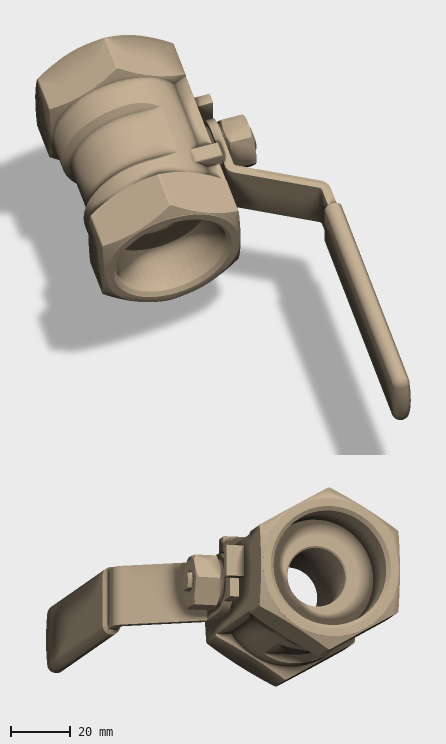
import cadquery as cq
import math


valve_length = 77.0
port_dia = 20.0
thread_dia = 38.95
thread_depth = 19.0
mouth_chamfer = 1.3
port_chamfer = 0.5
hex_flats = 48.0
hex_length = 18.3
hex_corner_radius = 1.0
hex_face_dia = 46.5
hex_chamfer_angle = 30.0
barrel_dia = 47.0

waist_radius = 21.0
waist_start = -7.8
waist_end = 11.4
waist_slope = 2.4
cutter_margin = 3.0

pad_half_width = 13.2
pad_fillet = 0.5
stop_x = -15.0
stop_width = 3.8
stop_height = 10.4
stop_top = 30.0
stop_root = 1.0
lug_x = 9.6
lug_width = 5.7
lug_bottom = 15.0
lug_top = 25.0
lug_front = 18.0
lug_back = pad_half_width - pad_fillet
lug_fillet = 0.6

boss_dia = 16.0
boss_height = 2.0
stem_dia = 9.0
stem_flats = 5.2
stem_chamfer = 0.8
stem_top = 40.5
washer_thickness = 1.2
nut_flats = 17.0
nut_top = 39.0
nut_chamfer_angle = 30.0

lever_width = 20.0
lever_thickness = 3.0
lever_angle = 60.0
lever_bend_x = 15.0
lever_rise = 28.0
lower_bend_radius = 1.0
upper_bend_radius = 1.5
finger_end = -15.9
finger_bottom = -7.2
finger_top = -1.0

grip_start = 40.0
grip_end = 120.0
grip_width = 23.0
grip_thickness = 6.0
grip_end_radius = 27.0
grip_corner_radius = 3.2
grip_edge_radius = 2.95
grip_start_chamfer = 1.0
lever_insertion = 70.0

end_x = valve_length / 2
pad_y = hex_flats / 2
lever_bottom = pad_y + boss_height
lever_top = lever_bottom + lever_thickness
nut_bottom = lever_top + washer_thickness


def box(x0, x1, y0, y1, z0, z1):
    """Box between opposite corners."""
    return cq.Workplane("XY").box(x1 - x0, y1 - y0, z1 - z0, centered=False).translate((x0, y0, z0))


def disc(diameter, y0, y1):
    """Cylinder around the stem axis."""
    return cq.Workplane("XZ", origin=(0, y0, 0)).circle(diameter / 2).extrude(y0 - y1)


def chamfered_hexagon(flats, length, face_dia, angle, corner_radius=0.0):
    """Hexagon along +Z, corners on X, both ends chamfered by cones that start at face_dia."""
    corner = flats / math.sqrt(3)
    drop = (corner - face_dia / 2) * math.tan(math.radians(angle))
    prism = cq.Workplane("XY").polygon(6, 2 * corner).extrude(length)
    if corner_radius:
        prism = prism.edges("|Z").fillet(corner_radius)
    envelope = (
        cq.Workplane("XZ")
        .polyline([
            (0, 0), (face_dia / 2, 0), (corner, drop),
            (corner, length - drop), (face_dia / 2, length), (0, length),
        ])
        .close()
        .revolve(360, (0, 0, 0), (0, 1, 0))
    )
    return prism.intersect(envelope)


def waist_cutter():
    """Sloped-wall groove: half round on the -Y side, straight along Y on the stem side."""
    outer = barrel_dia / 2 + cutter_margin
    flare = waist_slope * (outer - waist_radius) / (barrel_dia / 2 - waist_radius)
    profile = [
        (waist_start, waist_radius), (waist_end, waist_radius),
        (waist_end + flare, outer), (waist_start - flare, outer),
    ]
    round_side = cq.Workplane("XZ").polyline(profile).close().revolve(180, (0, 0, 0), (1, 0, 0))
    straight_side = cq.Workplane("XZ").polyline(profile).close().extrude(-pad_y)
    return round_side.union(straight_side).union(straight_side.mirror("XY"))


def waisted_barrel():
    """Round barrel with the mounting pad on its stem side, grooved at the waist."""
    barrel = cq.Workplane("YZ", origin=(-end_x, 0, 0)).circle(barrel_dia / 2).extrude(valve_length)
    pad_end = end_x - hex_length / 2
    pad = box(-pad_end, pad_end, 0, pad_y, -pad_half_width, pad_half_width)
    pad = pad.edges("|X and >Y").fillet(pad_fillet)
    return barrel.union(pad).cut(waist_cutter())


def flow_bore():
    """Port with a threaded socket at each end."""
    bore = thread_dia / 2
    port = port_dia / 2
    floor_x = end_x - thread_depth
    profile = [
        (-end_x, bore + mouth_chamfer), (-end_x + mouth_chamfer, bore),
        (-floor_x, bore), (-floor_x, port + port_chamfer),
        (-floor_x + port_chamfer, port), (floor_x - port_chamfer, port),
        (floor_x, port + port_chamfer), (floor_x, bore),
        (end_x - mouth_chamfer, bore), (end_x, bore + mouth_chamfer),
    ]
    return (
        cq.Workplane("XY")
        .polyline([(-end_x, 0)] + profile + [(end_x, 0)])
        .close()
        .revolve(360, (0, 0, 0), (1, 0, 0))
    )


def stem_shape(y0, y1):
    """Round stem with two flats facing +Z and -Z."""
    flats = box(-stem_dia, stem_dia, y0, y1, -stem_flats / 2, stem_flats / 2)
    return disc(stem_dia, y0, y1).faces(">Y").chamfer(stem_chamfer).intersect(flats)


def make_housing():
    housing = waisted_barrel()
    for start in (-end_x, end_x - hex_length):
        hexagon = chamfered_hexagon(hex_flats, hex_length, hex_face_dia, hex_chamfer_angle, hex_corner_radius)
        housing = housing.union(hexagon.rotate((0, 0, 0), (0, 1, 0), 90).translate((start, 0, 0)))
    housing = housing.union(box(stop_x, stop_x + stop_width, pad_y - stop_root, stop_top, 0, stop_height))
    lug = box(lug_x, lug_x + lug_width, lug_bottom, lug_top, lug_back, lug_front)
    housing = housing.union(lug.edges("(>Z or |Z) and (not <Y)").fillet(lug_fillet))
    housing = housing.cut(flow_bore())
    housing = housing.union(disc(boss_dia, pad_y, lever_bottom))
    housing = housing.union(stem_shape(pad_y, stem_top))
    housing = housing.union(disc(boss_dia, lever_top, nut_bottom))
    nut = chamfered_hexagon(nut_flats, nut_top - nut_bottom, nut_flats, nut_chamfer_angle)
    return housing.union(nut.rotate((0, 0, 0), (1, 0, 0), -90).translate((0, nut_bottom, 0)))


def lever_strip():
    """Flat bar from the stem axis, bent up and then level again into the grip."""
    slope = math.tan(math.radians(lever_angle))
    shift = lever_thickness * math.tan(math.radians(lever_angle / 2))
    upper_bend_x = lever_bend_x + lever_rise / slope
    far_x = grip_start + lever_insertion
    outline = [
        (0, lever_bottom), (lever_bend_x + shift, lever_bottom),
        (upper_bend_x + shift, lever_bottom + lever_rise), (far_x, lever_bottom + lever_rise),
        (far_x, lever_top + lever_rise), (upper_bend_x, lever_top + lever_rise),
        (lever_bend_x, lever_top), (0, lever_top),
    ]
    strip = cq.Workplane("XY").polyline(outline).close().extrude(lever_width / 2, both=True)
    lower_inner = (lever_bend_x, lever_top, 0)
    lower_outer = (lever_bend_x + shift, lever_bottom, 0)
    upper_inner = (upper_bend_x + shift, lever_bottom + lever_rise, 0)
    upper_outer = (upper_bend_x, lever_top + lever_rise, 0)
    for corner, radius in (
        (lower_inner, lower_bend_radius),
        (lower_outer, lower_bend_radius + lever_thickness),
        (upper_inner, upper_bend_radius),
        (upper_outer, upper_bend_radius + lever_thickness),
    ):
        strip = strip.edges(cq.selectors.NearestToPointSelector(corner)).fillet(radius)
    return strip


def make_grip():
    """Sleeve with rounded long edges and a bowed, rounded far end."""
    half = grip_width / 2
    bow = grip_end_radius - math.sqrt(grip_end_radius**2 - half**2)
    middle_y = lever_bottom + lever_rise + lever_thickness / 2
    grip = (
        cq.Workplane("XZ", origin=(0, middle_y, 0))
        .moveTo(grip_start, -half)
        .lineTo(grip_end - bow, -half)
        .threePointArc((grip_end, 0), (grip_end - bow, half))
        .lineTo(grip_start, half)
        .close()
        .extrude(grip_thickness / 2, both=True)
    )
    grip = grip.edges("|Y").edges(">X").fillet(grip_corner_radius)
    grip = grip.faces("<Y or >Y").edges("not <X").fillet(grip_edge_radius)
    return grip.faces("<X").chamfer(grip_start_chamfer)


def make_lever():
    lever = lever_strip().union(disc(lever_width, lever_bottom, lever_top))
    lever = lever.union(box(finger_end, 0, lever_bottom, lever_top, finger_bottom, finger_top))
    lever = lever.union(make_grip())
    return lever.cut(stem_shape(pad_y, stem_top))


housing = make_housing()
lever = make_lever()

result = cq.Compound.makeCompound([housing.val(), lever.val()])